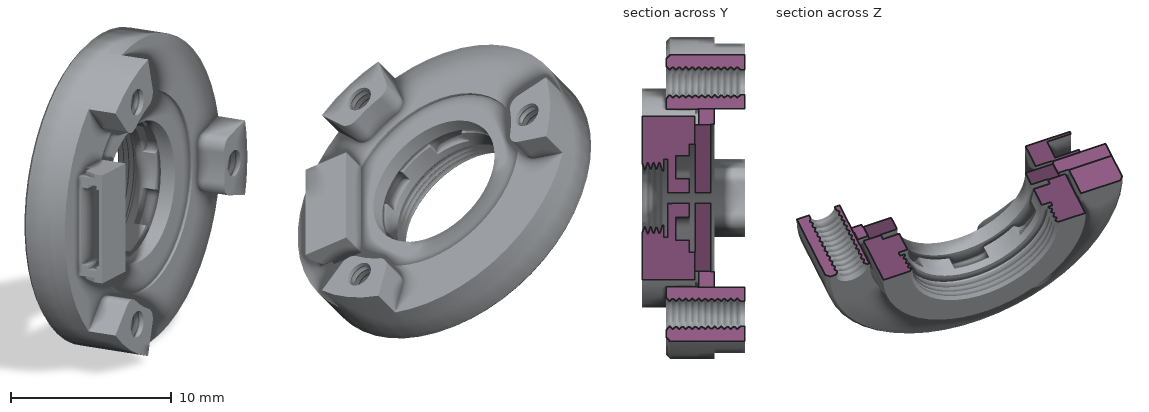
import cadquery as cq
import math

OUTER_DIAMETER = 20.0
TOTAL_LENGTH = 6.4

HOUSING_FRONT = 1.5
HOUSING_THICKNESS = 2.0
HOUSING_BORE = 14.2
HOUSING_CHAMFER = 0.25
HOUSING_BACK = HOUSING_FRONT + HOUSING_THICKNESS
PRONG_ANGLES = (0, 120, 240)
PRONG_HALF_ANGLE = 14
PRONG_FILLET = 0.82
GAP_OVERCUT = 0.8

SCREW_CIRCLE_RADIUS = 8.3
SCREW_MINOR_DIAMETER = 1.68
SCREW_MAJOR_DIAMETER = 2.0
SCREW_PITCH = 0.4
SCREW_COUNTERSINK_DIAMETER = 2.12

BARREL_DIAMETER = 13.6
BARREL_LENGTH = 3.3
BARREL_MINOR_DIAMETER = 9.6
BARREL_MAJOR_DIAMETER = 10.0
BARREL_PITCH = 0.35
BARREL_COUNTERSINK_DIAMETER = 9.95
THREAD_LENGTH = 1.35
RELIEF_DIAMETER = 10.2
LUG_FRONT = 1.6
LUG_BACK = 2.95
LUG_BORE = 9.0
LUG_SEAT_DIAMETER = 11.2
NOTCH_COUNT = 6
NOTCH_ANGLE = 30
NOTCH_DEPTH = 0.85
NOTCH_DIAMETER = 10.4
NOTCH_FILLET = 0.4
NOTCH_OVERCUT = 0.4

RETAINER_THICKNESS = 1.0
RETAINER_DIAMETER = 12.8
RETAINER_BORE = 9.0
RETAINER_BACK = BARREL_LENGTH + RETAINER_THICKNESS

COVER_THICKNESS = 1.0
COVER_BORE = RETAINER_DIAMETER
COVER_BACK = HOUSING_BACK + COVER_THICKNESS

CONNECTOR_HEIGHT = 1.7
CONNECTOR_WIDTH = 7.0
CONNECTOR_DEPTH = 3.0
CONNECTOR_FACE_Y = -8.28
SOCKET_DEPTH = 1.6
SOCKET_WIDTH = 5.02
SOCKET_THICKNESS = 1.28
SOCKET_FLOOR_GAP = 0.2
KEY_WIDTH = 5.52
KEY_THICKNESS = 0.62
KEY_FLOOR_GAP = 0.68
TAB_NOTCH_WIDTH = 0.28
TAB_NOTCH_STEP = 0.32
TAB_NOTCH_HEIGHT = 1.15
TAB_NOTCH_DEPTH = 1.0
TAB_NOTCH_SLOPE_DEPTH = 0.42


def revolved(profile):
    """Solid turned about the X axis from (x, radius) points."""
    return cq.Workplane("XY").polyline(profile).close().revolve(360, (0, 0, 0), (1, 0, 0))


def cylinder(x_start, x_end, diameter):
    """Solid cylinder along the X axis."""
    return cq.Workplane("YZ", origin=(x_start, 0, 0)).circle(diameter / 2).extrude(x_end - x_start)


def ring(x_start, x_end, outer_diameter, bore):
    """Flat ring along the X axis."""
    return cylinder(x_start, x_end, outer_diameter).cut(cylinder(x_start, x_end, bore))


def thread_cutter(x_start, x_end, minor_diameter, major_diameter, pitch, countersink_diameter):
    """Bore with V-shaped thread grooves and a 45 degree countersink at its front."""
    minor_radius = minor_diameter / 2
    major_radius = major_diameter / 2
    countersink_radius = countersink_diameter / 2
    groove_start = x_start + countersink_radius - minor_radius
    groove_count = int((x_end - groove_start) / pitch)
    profile = [(x_start, 0), (x_start, countersink_radius)]
    for index in range(groove_count):
        groove_x = groove_start + index * pitch
        profile.append((groove_x, minor_radius))
        profile.append((groove_x + pitch / 2, major_radius))
    profile.append((groove_start + groove_count * pitch, minor_radius))
    profile.append((x_end, minor_radius))
    profile.append((x_end, 0))
    return revolved(profile)


def sector(x_start, x_end, inner_diameter, outer_diameter, half_angle):
    """Ring sector centred on the +Y direction, with radial sides."""

    def at(radius, degrees):
        angle = math.radians(degrees)
        return (radius * math.cos(angle), radius * math.sin(angle))

    inner = inner_diameter / 2
    outer = outer_diameter / 2
    return (
        cq.Workplane("YZ", origin=(x_start, 0, 0))
        .moveTo(*at(inner, -half_angle))
        .lineTo(*at(outer, -half_angle))
        .threePointArc(at(outer, 0), at(outer, half_angle))
        .lineTo(*at(inner, half_angle))
        .threePointArc(at(inner, 0), at(inner, -half_angle))
        .close()
        .extrude(x_end - x_start)
    )


def turned(shape, degrees):
    """Shape turned about the X axis."""
    return shape.rotate((0, 0, 0), (1, 0, 0), degrees)


def make_housing_blank():
    """Flat ring with three prongs, before its screw holes are made."""
    housing = (
        ring(HOUSING_FRONT, TOTAL_LENGTH, OUTER_DIAMETER, HOUSING_BORE)
        .faces("<X")
        .edges(cq.selectors.RadiusNthSelector(-1))
        .chamfer(HOUSING_CHAMFER)
    )
    prong_pitch = 360 / len(PRONG_ANGLES)
    gap = sector(
        HOUSING_BACK,
        TOTAL_LENGTH,
        HOUSING_BORE - GAP_OVERCUT,
        OUTER_DIAMETER + GAP_OVERCUT,
        prong_pitch / 2 - PRONG_HALF_ANGLE,
    )
    for angle in PRONG_ANGLES:
        housing = housing.cut(turned(gap, angle + prong_pitch / 2))
    inner_corners = cq.selectors.BoxSelector(
        (HOUSING_BACK, -HOUSING_BORE / 2, -HOUSING_BORE / 2),
        (TOTAL_LENGTH, HOUSING_BORE / 2, HOUSING_BORE / 2),
    )
    return housing.edges("|X").edges(inner_corners).fillet(PRONG_FILLET)


def make_housing():
    housing = make_housing_blank()
    screw_hole = thread_cutter(
        HOUSING_FRONT,
        TOTAL_LENGTH,
        SCREW_MINOR_DIAMETER,
        SCREW_MAJOR_DIAMETER,
        SCREW_PITCH,
        SCREW_COUNTERSINK_DIAMETER,
    ).translate((0, SCREW_CIRCLE_RADIUS, 0))
    for angle in PRONG_ANGLES:
        housing = housing.cut(turned(screw_hole, angle))
    return housing


def make_barrel():
    threaded_bore = thread_cutter(
        0,
        THREAD_LENGTH,
        BARREL_MINOR_DIAMETER,
        BARREL_MAJOR_DIAMETER,
        BARREL_PITCH,
        BARREL_COUNTERSINK_DIAMETER,
    )
    barrel = (
        cylinder(0, BARREL_LENGTH, BARREL_DIAMETER)
        .cut(threaded_bore)
        .cut(cylinder(THREAD_LENGTH, LUG_FRONT, RELIEF_DIAMETER))
        .cut(cylinder(LUG_FRONT, LUG_BACK, LUG_BORE))
        .cut(cylinder(LUG_BACK, BARREL_LENGTH, LUG_SEAT_DIAMETER))
    )
    notch = sector(
        LUG_BACK - NOTCH_DEPTH, LUG_BACK, LUG_BORE - NOTCH_OVERCUT, NOTCH_DIAMETER, NOTCH_ANGLE / 2
    )
    outer_corners = cq.selectors.BoxSelector(
        (0, LUG_BORE / 2, -NOTCH_DIAMETER), (LUG_BACK, NOTCH_DIAMETER, NOTCH_DIAMETER)
    )
    notch = notch.edges("|X").edges(outer_corners).fillet(NOTCH_FILLET)
    notch_pitch = 360 / NOTCH_COUNT
    for index in range(NOTCH_COUNT):
        barrel = barrel.cut(turned(notch, (index + 0.5) * notch_pitch))
    return barrel


def make_retainer():
    return ring(BARREL_LENGTH, RETAINER_BACK, RETAINER_DIAMETER, RETAINER_BORE)


def make_cover():
    """Flat ring whose three notches take the prongs of the housing."""
    cover = ring(HOUSING_BACK, COVER_BACK, OUTER_DIAMETER, COVER_BORE)
    return cover.cut(make_housing_blank())


def make_connector():
    def block(x_start, thickness, y_start, depth, width):
        return cq.Workplane("XY").box(thickness, depth, width, centered=(False, False, True)).translate(
            (x_start, y_start, 0)
        )

    connector = block(COVER_BACK, CONNECTOR_HEIGHT, CONNECTOR_FACE_Y, CONNECTOR_DEPTH, CONNECTOR_WIDTH)
    connector = connector.cut(
        block(COVER_BACK + SOCKET_FLOOR_GAP, SOCKET_THICKNESS, CONNECTOR_FACE_Y, SOCKET_DEPTH, SOCKET_WIDTH)
    )
    connector = connector.cut(
        block(COVER_BACK + KEY_FLOOR_GAP, KEY_THICKNESS, CONNECTOR_FACE_Y, SOCKET_DEPTH, KEY_WIDTH)
    )
    notch_back_y = CONNECTOR_FACE_Y + TAB_NOTCH_DEPTH
    tab_notch = (
        cq.Workplane("XY", origin=(0, 0, CONNECTOR_WIDTH / 2 - TAB_NOTCH_WIDTH))
        .moveTo(COVER_BACK, CONNECTOR_FACE_Y)
        .lineTo(COVER_BACK + TAB_NOTCH_HEIGHT, CONNECTOR_FACE_Y)
        .lineTo(COVER_BACK + TAB_NOTCH_STEP, CONNECTOR_FACE_Y + TAB_NOTCH_SLOPE_DEPTH)
        .lineTo(COVER_BACK + TAB_NOTCH_STEP, notch_back_y)
        .lineTo(COVER_BACK, notch_back_y)
        .close()
        .extrude(TAB_NOTCH_WIDTH)
    )
    return connector.cut(tab_notch).cut(tab_notch.mirror("XY"))


housing = make_housing()
barrel = make_barrel()
retainer = make_retainer()
cover = make_cover()
connector = make_connector()

result = cq.Compound.makeCompound(
    [housing.val(), barrel.val(), retainer.val(), cover.val(), connector.val()]
)